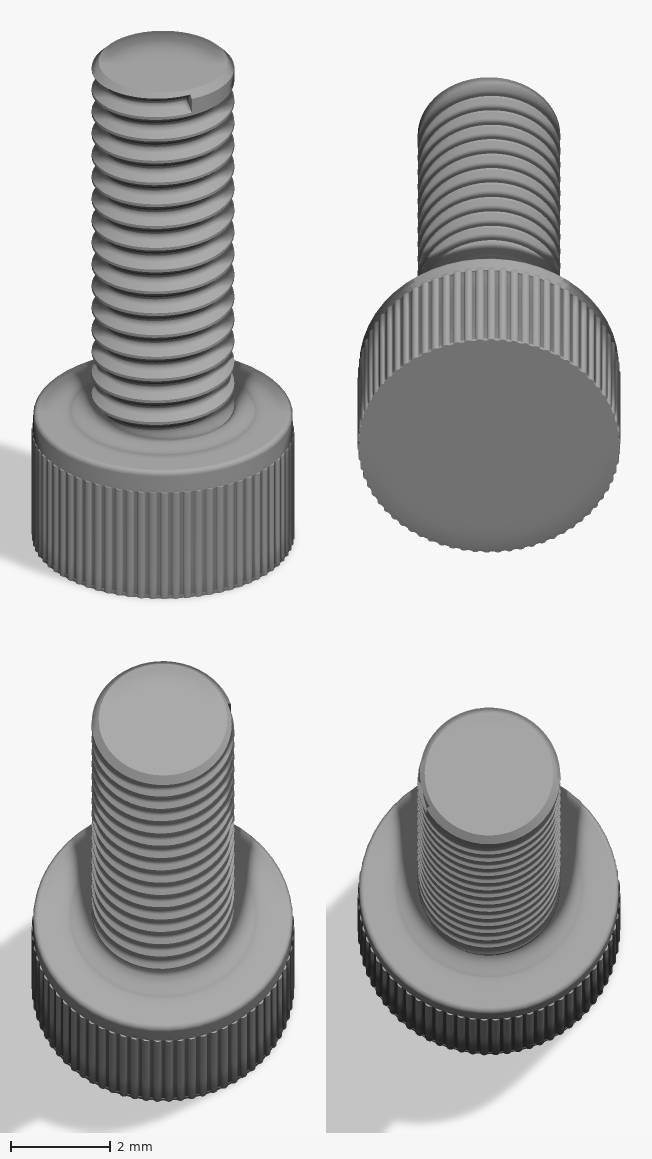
import cadquery as cq
total_length = 10.9
head_height = 2.9
shank_length = total_length - head_height

knurl_diameter = 5.3
knurl_height = 2.43
ridge_count = 70
ridge_height = 0.05
ridge_width = 0.17
rim_height = 0.07
collar_radius = 2.62
groove_floor_radius = knurl_diameter / 2 - ridge_height
head_edge_radius = 0.1

cone_base_radius = 1.87
cone_top_radius = 1.47
cone_height = 0.08

thread_radius = 1.44
root_radius = 1.2
thread_turns = 16
pitch = shank_length / thread_turns
root_flat = 0.05
crest_flat = pitch / 8
tip_chamfer = 0.14
seam_angle = 90.0
thread_end_depth = 0.24
groove_overshoot = 0.02


def make_knurl():
    """Ring of rounded ridges standing on the cylindrical head."""
    ridge_radius = (ridge_height**2 + (ridge_width / 2) ** 2) / (2 * ridge_height)
    centre_distance = knurl_diameter / 2 - ridge_radius
    return (
        cq.Workplane("XY")
        .polarArray(centre_distance, 90, 360, ridge_count)
        .circle(ridge_radius)
        .extrude(knurl_height)
    )


def make_head():
    """Knurled head with a plain collar above the knurl and a low cone on top."""
    core = cq.Workplane("XY").circle(groove_floor_radius).extrude(head_height - head_edge_radius)
    rim = cq.Workplane("XY").circle(collar_radius).extrude(rim_height)
    collar = (
        cq.Workplane("XY", origin=(0, 0, knurl_height))
        .circle(collar_radius)
        .extrude(head_height - knurl_height)
        .faces(">Z")
        .edges()
        .fillet(head_edge_radius)
    )
    cone = (
        cq.Workplane("XY", origin=(0, 0, head_height))
        .circle(cone_base_radius)
        .workplane(offset=cone_height)
        .circle(cone_top_radius)
        .loft()
    )
    return core.union(rim).union(collar).union(make_knurl()).union(cone)


def make_groove():
    """Right-handed thread groove that ends squarely on the +X side near the tip."""
    outer_radius = thread_radius + groove_overshoot
    half_root = root_flat / 2
    flank_slope = ((pitch - crest_flat) / 2 - half_root) / (thread_radius - root_radius)
    half_mouth = half_root + flank_slope * (outer_radius - root_radius)
    groove_length = thread_turns * pitch
    start_z = total_length - thread_end_depth - groove_length
    path = cq.Wire.makeHelix(pitch, groove_length, root_radius, center=cq.Vector(0, 0, start_z))
    return (
        cq.Workplane("XZ", origin=(0, 0, start_z))
        .moveTo(root_radius, -half_root)
        .lineTo(outer_radius, -half_mouth)
        .lineTo(outer_radius, half_mouth)
        .lineTo(root_radius, half_root)
        .close()
        .sweep(cq.Workplane(obj=path), isFrenet=True)
    )


def make_shank():
    """Chamfered cylinder with the thread groove cut into it."""
    shank = cq.Workplane("XY").circle(thread_radius).extrude(total_length)
    shank = shank.faces(">Z").chamfer(tip_chamfer)
    shank = shank.rotate((0, 0, 0), (0, 0, 1), seam_angle)
    return shank.cut(make_groove())


result = make_shank().union(make_head())